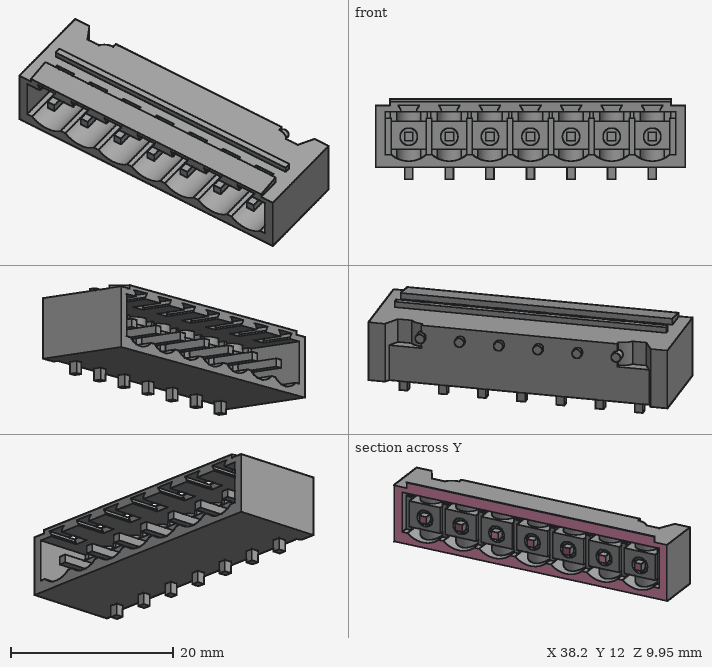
import cadquery as cq

PIN_COUNT = 7
PITCH = 5.0
LENGTH = 38.2
DEPTH = 12.0
HEIGHT = 7.65

END_WALL = 1.2
TOP_WALL = 0.75
FLOOR_DROP = 6.07
SCALLOP_DROP = 6.88
CELL_WIDTH = 4.3

PIN_TIP_DEPTH = 1.0
BLOCK_DEPTH = 6.5
LOWER_RIB_DEPTH = 7.0
UPPER_RIB_DEPTH = 7.37
POCKET_DEPTH = 8.4

UPPER_POCKET_WIDTH = 4.6
RIB_STEP_DROP = 1.6
BLOCK_TOP_DROP = 1.95
BLOCK_BOTTOM_DROP = 5.42
COLUMN_RADIUS = 1.5

PIN_SIZE = 1.05
PIN_DROP = 3.85
RECESS_RADIUS = 1.07
RECESS_DEPTH = 0.5
LEG_TO_BACK = 1.5
LEG_LENGTH = 1.5

KEYWAY_DEPTH = 4.13
KEYWAY_TOP_WIDTH = 2.6
KEYWAY_THROAT_WIDTH = 1.95
KEYWAY_TAPER_HEIGHT = 0.55

LIP_END_INSET = 1.75
LIP_DEPTH = 3.15
LIP_FLAT = 0.3
LIP_HEIGHT = 0.8
LIP_FRONT_HEIGHT = 0.45
RAIL_OFFSET = 5.27
RAIL_WIDTH = 0.8
RAIL_HEIGHT = 0.73

BACK_STEP = 0.65
EAR_TIP_WIDTH = 2.15
EAR_ROOT_WIDTH = 3.25
NOTCH_REACH = 2.02
NOTCH_FLAT_END = 5.0
NOTCH_SHOULDER = 1.22
NOTCH_ARC_RADIUS = 2.0
NOTCH_HEIGHT = 3.0
BOSS_DIAMETER = 1.2
BOSS_DROP = 1.55

FRONT = -DEPTH / 2
BACK = DEPTH / 2
TOP = HEIGHT
CEILING = TOP - TOP_WALL
FLOOR = TOP - FLOOR_DROP
SCALLOP_BOTTOM = TOP - SCALLOP_DROP
PIN_AXIS_Z = TOP - PIN_DROP
REAR_WALL = BACK - BACK_STEP
EAR_WALL_WIDTH = EAR_TIP_WIDTH + (EAR_ROOT_WIDTH - EAR_TIP_WIDTH) * BACK_STEP / NOTCH_REACH
CAVITY_WIDTH = LENGTH - 2 * END_WALL
LIP_LENGTH = LENGTH - 2 * LIP_END_INSET

PIN_XS = [(i - (PIN_COUNT - 1) / 2) * PITCH for i in range(PIN_COUNT)]
BOSS_XS = [x + PITCH / 2 for x in PIN_XS[:-1]]


def block(x, width, y0, y1, z0, z1):
    """Box centred on x, between two Y planes and two Z planes."""
    return cq.Workplane("XY").box(width, y1 - y0, z1 - z0, centered=(True, False, False)).translate((x, y0, z0))


def extrude_back(profile, y0, y1):
    """Extrude an XZ profile (drawn at Y = 0) from y0 toward +Y up to y1."""
    return profile.extrude(-(y1 - y0)).translate((0, y0, 0))


def end_notch():
    """Notch behind the -X end: sloping ear side, flat bottom, arc up to the outermost boss."""
    end = -LENGTH / 2
    boss_x = BOSS_XS[0]
    shoulder_y = BACK - NOTCH_SHOULDER
    bottom_y = BACK - NOTCH_REACH
    arc_centre_y = shoulder_y - NOTCH_ARC_RADIUS
    arc_mid_x = (end + NOTCH_FLAT_END + boss_x) / 2
    arc_mid_y = arc_centre_y + (NOTCH_ARC_RADIUS**2 - (boss_x - arc_mid_x) ** 2) ** 0.5
    return (
        cq.Workplane("XY")
        .workplane(offset=TOP - NOTCH_HEIGHT)
        .moveTo(end + EAR_WALL_WIDTH, REAR_WALL)
        .lineTo(end + EAR_ROOT_WIDTH, bottom_y)
        .lineTo(end + NOTCH_FLAT_END, bottom_y)
        .threePointArc((arc_mid_x, arc_mid_y), (boss_x, shoulder_y))
        .lineTo(boss_x, REAR_WALL)
        .close()
        .extrude(NOTCH_HEIGHT)
    )


def ear_gap():
    """Space between the two end ears, behind the rear wall."""
    tip_x = LENGTH / 2 - EAR_TIP_WIDTH
    wall_x = LENGTH / 2 - EAR_WALL_WIDTH
    outline = [(-tip_x, BACK), (-wall_x, REAR_WALL), (wall_x, REAR_WALL), (tip_x, BACK)]
    return cq.Workplane("XY").polyline(outline).close().extrude(HEIGHT)


def scallop(x):
    """Shallow cylindrical trough in the cavity floor below one pin."""
    half = CELL_WIDTH / 2
    profile = (
        cq.Workplane("XZ")
        .moveTo(x - half, FLOOR)
        .threePointArc((x, SCALLOP_BOTTOM), (x + half, FLOOR))
        .close()
    )
    return extrude_back(profile, FRONT, FRONT + POCKET_DEPTH)


def keyway(x):
    """Slot through the cavity roof, wider at the top."""
    top_half = KEYWAY_TOP_WIDTH / 2
    throat_half = KEYWAY_THROAT_WIDTH / 2
    taper_end = TOP - KEYWAY_TAPER_HEIGHT
    right = [(top_half, TOP), (throat_half, taper_end), (throat_half, CEILING)]
    left = [(-across, z) for across, z in reversed(right)]
    profile = cq.Workplane("XZ").polyline([(x + across, z) for across, z in right + left]).close()
    return extrude_back(profile, FRONT, FRONT + KEYWAY_DEPTH)


def contact_support(x):
    """Half-round column on the back of the pocket with the block that carries one pin."""
    back = FRONT + POCKET_DEPTH
    column = (
        cq.Workplane("XY")
        .workplane(offset=SCALLOP_BOTTOM)
        .center(x, back)
        .circle(COLUMN_RADIUS)
        .extrude(CEILING - SCALLOP_BOTTOM)
    )
    carrier = block(x, CELL_WIDTH, FRONT + BLOCK_DEPTH, back, TOP - BLOCK_BOTTOM_DROP, TOP - BLOCK_TOP_DROP)
    recess = extrude_back(
        cq.Workplane("XZ").center(x, PIN_AXIS_Z).circle(RECESS_RADIUS),
        FRONT + BLOCK_DEPTH,
        FRONT + BLOCK_DEPTH + RECESS_DEPTH,
    )
    return column.union(carrier).cut(recess)


def lip():
    """Bar above the mating opening, its top sloping down to the mating face."""
    outline = [
        (FRONT, TOP),
        (FRONT, TOP + LIP_FRONT_HEIGHT),
        (FRONT + LIP_DEPTH - LIP_FLAT, TOP + LIP_HEIGHT),
        (FRONT + LIP_DEPTH, TOP + LIP_HEIGHT),
        (FRONT + LIP_DEPTH, TOP),
    ]
    return cq.Workplane("YZ").polyline(outline).close().extrude(LIP_LENGTH / 2, both=True)


def boss(x):
    """Round stub on the rear wall, level with the ear tips."""
    profile = cq.Workplane("XZ").center(x, TOP - BOSS_DROP).circle(BOSS_DIAMETER / 2)
    return extrude_back(profile, BACK - NOTCH_SHOULDER, BACK)


def make_pin(x):
    """Square contact pin bent down into a solder leg."""
    half = PIN_SIZE / 2
    leg_back = BACK - LEG_TO_BACK
    blade = block(x, PIN_SIZE, FRONT + PIN_TIP_DEPTH, leg_back, PIN_AXIS_Z - half, PIN_AXIS_Z + half)
    leg = block(x, PIN_SIZE, leg_back - PIN_SIZE, leg_back, -LEG_LENGTH, PIN_AXIS_Z)
    return blade.union(leg)


def make_housing(pins):
    body = block(0, LENGTH, FRONT, BACK, 0, TOP)

    notch = end_notch()
    body = body.cut(ear_gap()).cut(notch).cut(notch.mirror("YZ"))
    for x in BOSS_XS:
        body = body.union(boss(x))

    step_z = TOP - RIB_STEP_DROP
    body = body.cut(block(0, CAVITY_WIDTH, FRONT, FRONT + LOWER_RIB_DEPTH, FLOOR, CEILING))
    body = body.cut(block(0, CAVITY_WIDTH, FRONT, FRONT + UPPER_RIB_DEPTH, step_z, CEILING))
    for x in PIN_XS:
        body = body.cut(block(x, CELL_WIDTH, FRONT, FRONT + POCKET_DEPTH, FLOOR, step_z))
        body = body.cut(block(x, UPPER_POCKET_WIDTH, FRONT, FRONT + POCKET_DEPTH, step_z, CEILING))
        body = body.cut(scallop(x)).cut(keyway(x))
        body = body.union(contact_support(x))

    rail_front = FRONT + RAIL_OFFSET
    body = body.union(lip())
    body = body.union(block(0, LIP_LENGTH, rail_front, rail_front + RAIL_WIDTH, TOP, TOP + RAIL_HEIGHT))

    for pin in pins:
        body = body.cut(pin)
    return body


pins = [make_pin(x) for x in PIN_XS]
housing = make_housing(pins)

result = cq.Compound.makeCompound([housing.solids().val(), *[pin.val() for pin in pins]])